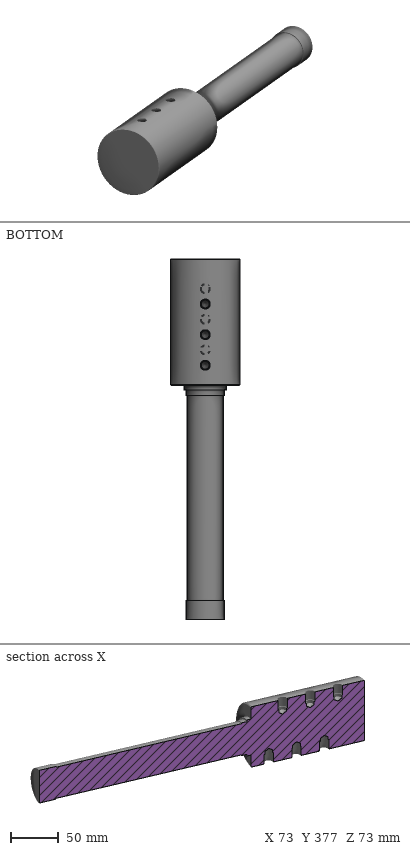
import cadquery as cq
import math

total_length = 377.0

body_diameter = 73.0
body_length = 132.0
front_chamfer = 0.5
rear_chamfer = 0.98

wide_collar_diameter = 44.0
wide_collar_length = 5.0
narrow_collar_diameter = 40.0
narrow_collar_length = 6.0

rod_diameter = 38.0
cap_diameter = narrow_collar_diameter
cap_length = 20.0

bore_diameter = 8.3
mouth_diameter = 10.0
mouth_depth = 11.3
bore_depth = 15.0
drill_tip_angle = 118.0
hole_spacing = 32.0
hole_count = 3
first_top_hole_from_front = 31.0
first_bottom_hole_from_front = first_top_hole_from_front + hole_spacing / 2

front_y = -total_length / 2
body_end_y = front_y + body_length
wide_collar_end_y = body_end_y + wide_collar_length
narrow_collar_end_y = wide_collar_end_y + narrow_collar_length
back_y = front_y + total_length
cap_start_y = back_y - cap_length


def cylinder_along_y(diameter, start_y, end_y):
    """Solid cylinder on the Y axis between two stations."""
    base = cq.Workplane("XZ", origin=(0, start_y, 0))
    return base.circle(diameter / 2).extrude(start_y - end_y)


def stepped_hole(y):
    """Blind hole from the top of the body: a wider mouth, then a bore with a conical drill tip."""
    mouth_radius = mouth_diameter / 2
    bore_radius = bore_diameter / 2
    tip_height = bore_radius / math.tan(math.radians(drill_tip_angle / 2))
    top_z = body_diameter / 2
    step_z = top_z - mouth_depth
    floor_z = top_z - bore_depth
    profile = (
        cq.Workplane("XZ", origin=(0, y, 0))
        .moveTo(0, top_z)
        .lineTo(mouth_radius, top_z)
        .lineTo(mouth_radius, step_z)
        .lineTo(bore_radius, step_z)
        .lineTo(bore_radius, floor_z)
        .lineTo(0, floor_z - tip_height)
        .close()
    )
    return profile.revolve(360, (0, 0, 0), (0, 1, 0))


body = cylinder_along_y(body_diameter, front_y, body_end_y)
body = body.faces("<Y").chamfer(front_chamfer)
body = body.faces(">Y").chamfer(rear_chamfer)

wide_collar = cylinder_along_y(wide_collar_diameter, body_end_y, wide_collar_end_y)
narrow_collar = cylinder_along_y(narrow_collar_diameter, wide_collar_end_y, narrow_collar_end_y)
rod = cylinder_along_y(rod_diameter, narrow_collar_end_y, cap_start_y)
cap = cylinder_along_y(cap_diameter, cap_start_y, back_y)

result = body.union(wide_collar).union(narrow_collar).union(rod).union(cap)

for index in range(hole_count):
    row_offset = front_y + index * hole_spacing
    top_hole = stepped_hole(row_offset + first_top_hole_from_front)
    bottom_hole = stepped_hole(row_offset + first_bottom_hole_from_front).mirror("XY")
    result = result.cut(top_hole).cut(bottom_hole)